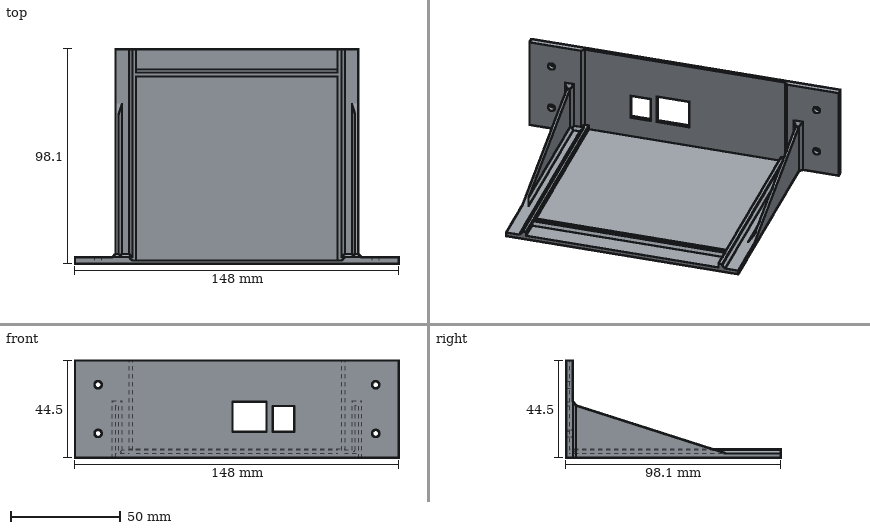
import cadquery as cq

PANEL_WIDTH = 148.0
PANEL_HEIGHT = 44.45
PANEL_THICKNESS = 3.1
SCREW_DIAMETER = 3.2
SCREW_PITCH_X = 126.8
SCREW_PITCH_Z = PANEL_HEIGHT / 2

WINDOW_SILL = 11.9
WINDOWS = [(-2.0, 15.5, 13.6), (16.4, 9.7, 11.7)]

TRAY_DEPTH = 95.0
TRAY_WIDTH = 111.0
FLOOR_THICKNESS = 2.0
BEVEL = 1.5

BOARD_WIDTH = 92.0
BOARD_LENGTH = 84.0
RAIL_WIDTH = 1.8
RAIL_TOP = 4.0
RECESS_DEPTH = 1.5

GUSSET_THICKNESS = 1.5
GUSSET_LENGTH = 70.0
GUSSET_RISE = 22.4

TRAY_BACK = PANEL_THICKNESS + TRAY_DEPTH
RECESS_FLOOR = PANEL_THICKNESS - RECESS_DEPTH
BOARD_HALF = BOARD_WIDTH / 2
FRAME_HALF = BOARD_HALF + RAIL_WIDTH
TRAY_HALF = TRAY_WIDTH / 2
GUSSET_INNER = TRAY_HALF - GUSSET_THICKNESS
GUSSET_TOP = FLOOR_THICKNESS + GUSSET_RISE
BOARD_BACK = RECESS_FLOOR + BOARD_LENGTH
RIB_BACK = BOARD_BACK + RAIL_WIDTH


def box(x_range, y_range, z_range):
    """Axis-aligned block between pairs of limits."""
    (x0, x1), (y0, y1), (z0, z1) = x_range, y_range, z_range
    return cq.Workplane("XY").box(x1 - x0, y1 - y0, z1 - z0, centered=False).translate((x0, y0, z0))


def prism_along_y(points, y0, y1):
    """Extrude an (X, Z) outline from y0 to y1."""
    return cq.Workplane("XZ", origin=(0, y0, 0)).polyline(points).close().extrude(y0 - y1)


def prism_along_x(points, x0, x1):
    """Extrude a (Y, Z) outline from x0 to x1."""
    return cq.Workplane("YZ", origin=(x0, 0, 0)).polyline(points).close().extrude(x1 - x0)


def prism_along_z(points, z0, z1):
    """Extrude an (X, Y) outline from z0 to z1."""
    return cq.Workplane("XY", origin=(0, 0, z0)).polyline(points).close().extrude(z1 - z0)


def both_sides(right_half):
    """A right-hand feature together with its mirror image on the left."""
    return right_half.union(right_half.mirror("YZ"))


def make_panel():
    return box((-PANEL_WIDTH / 2, PANEL_WIDTH / 2), (0, PANEL_THICKNESS), (0, PANEL_HEIGHT))


def make_floor():
    return box((-TRAY_HALF, TRAY_HALF), (PANEL_THICKNESS, TRAY_BACK), (0, FLOOR_THICKNESS))


def make_rail():
    """Right-hand rail: upright inside, bevelled into the floor outside."""
    outline = [
        (BOARD_HALF, FLOOR_THICKNESS),
        (FRAME_HALF + BEVEL, FLOOR_THICKNESS),
        (FRAME_HALF, FLOOR_THICKNESS + BEVEL),
        (FRAME_HALF, RAIL_TOP),
        (BOARD_HALF, RAIL_TOP),
    ]
    return prism_along_y(outline, PANEL_THICKNESS, TRAY_BACK)


def make_rib():
    """Cross rib behind the board, bevelled into the floor at its back."""
    outline = [
        (BOARD_BACK, FLOOR_THICKNESS),
        (RIB_BACK + BEVEL, FLOOR_THICKNESS),
        (RIB_BACK, FLOOR_THICKNESS + BEVEL),
        (RIB_BACK, RAIL_TOP),
        (BOARD_BACK, RAIL_TOP),
    ]
    return prism_along_x(outline, -BOARD_HALF, BOARD_HALF)


def make_gusset():
    """Right-hand gusset with bevels along the floor and the panel, under one sloping top."""
    wall = box((GUSSET_INNER, TRAY_HALF), (PANEL_THICKNESS, TRAY_BACK), (0, PANEL_HEIGHT))
    floor_bevel = prism_along_y(
        [
            (GUSSET_INNER, FLOOR_THICKNESS),
            (GUSSET_INNER - BEVEL, FLOOR_THICKNESS),
            (GUSSET_INNER, FLOOR_THICKNESS + BEVEL),
        ],
        PANEL_THICKNESS,
        TRAY_BACK,
    )
    panel_bevels = prism_along_z(
        [
            (GUSSET_INNER - BEVEL, PANEL_THICKNESS),
            (TRAY_HALF + BEVEL, PANEL_THICKNESS),
            (TRAY_HALF, PANEL_THICKNESS + BEVEL),
            (GUSSET_INNER, PANEL_THICKNESS + BEVEL),
        ],
        0,
        PANEL_HEIGHT,
    )
    slope = GUSSET_RISE / GUSSET_LENGTH
    side_profile = prism_along_x(
        [
            (PANEL_THICKNESS, 0),
            (PANEL_THICKNESS + GUSSET_LENGTH, 0),
            (PANEL_THICKNESS + GUSSET_LENGTH, FLOOR_THICKNESS),
            (PANEL_THICKNESS + BEVEL, GUSSET_TOP - slope * BEVEL),
            (PANEL_THICKNESS, GUSSET_TOP + BEVEL),
        ],
        0,
        TRAY_HALF + BEVEL,
    )
    return wall.union(floor_bevel).union(panel_bevels).intersect(side_profile)


def make_floor_panel_bevel():
    """Bevel between floor and panel, from the right-hand rail to the gusset."""
    outline = [
        (PANEL_THICKNESS, FLOOR_THICKNESS),
        (PANEL_THICKNESS + BEVEL, FLOOR_THICKNESS),
        (PANEL_THICKNESS, FLOOR_THICKNESS + BEVEL),
    ]
    return prism_along_x(outline, FRAME_HALF, GUSSET_INNER)


def make_recess():
    """Relief in the back of the panel, open at the top, with 45 degree ends."""
    mouth_half = FRAME_HALF + RECESS_DEPTH
    outline = [
        (-FRAME_HALF, RECESS_FLOOR),
        (FRAME_HALF, RECESS_FLOOR),
        (mouth_half, PANEL_THICKNESS),
        (-mouth_half, PANEL_THICKNESS),
    ]
    above_rails = prism_along_z(outline, RAIL_TOP, PANEL_HEIGHT)
    between_rails = box(
        (-BOARD_HALF, BOARD_HALF), (RECESS_FLOOR, PANEL_THICKNESS), (FLOOR_THICKNESS, RAIL_TOP)
    )
    return above_rails.union(between_rails)


def make_windows():
    cutter = cq.Workplane("XY")
    for left, width, height in WINDOWS:
        opening = box((left, left + width), (0, PANEL_THICKNESS), (WINDOW_SILL, WINDOW_SILL + height))
        cutter = cutter.union(opening)
    return cutter


def make_screw_holes():
    return (
        cq.Workplane("XZ", origin=(0, 0, PANEL_HEIGHT / 2))
        .rarray(SCREW_PITCH_X, SCREW_PITCH_Z, 2, 2)
        .circle(SCREW_DIAMETER / 2)
        .extrude(-PANEL_THICKNESS)
    )


body = make_panel().union(make_floor()).union(make_rib())
for feature in (make_rail(), make_gusset(), make_floor_panel_bevel()):
    body = body.union(both_sides(feature))

result = body.cut(make_recess()).cut(make_windows()).cut(make_screw_holes())